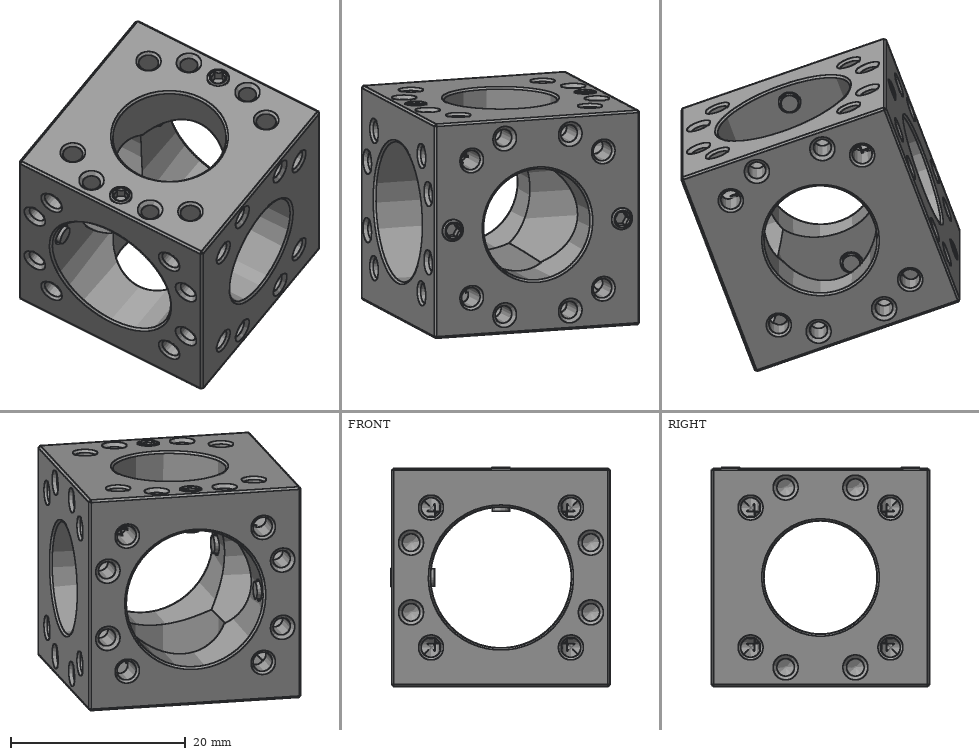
import cadquery as cq
import math

cube_size = 25.0
half_cube = cube_size / 2
edge_chamfer = 0.25

main_bore_diameter = 16.1
cross_bore_diameter = 12.95
bore_chamfer = 0.25

row_hole_diameter = 2.0
row_hole_depth = 4.01
corner_hole_diameter = 2.25
corner_hole_depth = 4.92
hole_mouth_diameter = 2.85
drill_point_angle = 118.0
mouth_angle = 90.0
corner_offset = 8.0
row_offset = 10.29
row_half_spacing = 4.0

screw_diameter = 2.5
screw_rim_diameter = 1.98
screw_point_diameter = 2.0
screw_point_length = 0.75
screw_length = 5.02
screw_height_above_face = 0.1
shoulder_length = (screw_diameter - screw_point_diameter) / 2
rim_chamfer_length = (screw_diameter - screw_rim_diameter) / 2
socket_across_flats = 1.5
socket_across_corners = socket_across_flats / math.cos(math.radians(30))
socket_depth = 1.25
socket_mouth_diameter = 1.93

x_axis = cq.Vector(1, 0, 0)
y_axis = cq.Vector(0, 1, 0)
z_axis = cq.Vector(0, 0, 1)
face_axes = [(x_axis, z_axis), (y_axis, x_axis), (z_axis, y_axis)]


def face_plane(normal, row_direction):
    """Plane on the cube face with this outward normal; its local X is the row direction."""
    return cq.Plane(origin=normal * half_cube, xDir=row_direction, normal=normal)


def bore_cutter(axis, diameter):
    """Through bore with a chamfer at both ends."""
    radius = diameter / 2
    profile = [
        (0, -half_cube),
        (radius + bore_chamfer, -half_cube),
        (radius, -half_cube + bore_chamfer),
        (radius, half_cube - bore_chamfer),
        (radius + bore_chamfer, half_cube),
        (0, half_cube),
    ]
    cutter = cq.Workplane("XZ").polyline(profile).close().revolve(360, (0, 0), (0, 1)).val()
    across = z_axis if axis is not z_axis else x_axis
    return cutter.moved(cq.Location(cq.Plane(origin=(0, 0, 0), xDir=across, normal=axis)))


def mounting_hole_cutter(diameter, depth):
    """Countersunk blind hole with a drill point, entering downward at the origin."""
    radius = diameter / 2
    mouth_radius = hole_mouth_diameter / 2
    mouth_depth = (mouth_radius - radius) / math.tan(math.radians(mouth_angle / 2))
    point_depth = radius / math.tan(math.radians(drill_point_angle / 2))
    profile = [
        (0, 0),
        (mouth_radius, 0),
        (radius, -mouth_depth),
        (radius, -depth),
        (0, -depth - point_depth),
    ]
    return cq.Workplane("XZ").polyline(profile).close().revolve(360, (0, 0), (0, 1)).val()


def mounting_hole_cutters():
    """The eight hole cutters of one face, placed around its centre."""
    corner_hole = mounting_hole_cutter(corner_hole_diameter, corner_hole_depth)
    row_hole = mounting_hole_cutter(row_hole_diameter, row_hole_depth)
    cutters = []
    for across in (-1, 1):
        for along in (-1, 1):
            cutters.append(corner_hole.translate((across * corner_offset, along * corner_offset, 0)))
            cutters.append(row_hole.translate((across * row_offset, along * row_half_spacing, 0)))
    return cutters


def screw_locations():
    """Where the screw axes cross the cube: two on the -X face and two on the top face."""
    faces = [face_plane(-x_axis, y_axis), face_plane(z_axis, y_axis)]
    return [
        cq.Location(face) * cq.Location(cq.Vector(side * row_offset, 0, 0))
        for face in faces
        for side in (-1, 1)
    ]


def make_screw():
    """Socket set screw with a dog point; its axis is Z and the cube face is at Z = 0."""
    radius = screw_diameter / 2
    rim_radius = screw_rim_diameter / 2
    point_radius = screw_point_diameter / 2
    top = screw_height_above_face
    bottom = top - screw_length
    point_top = bottom + screw_point_length
    profile = [
        (0, bottom),
        (point_radius, bottom),
        (point_radius, point_top),
        (radius, point_top + shoulder_length),
        (radius, top - rim_chamfer_length),
        (rim_radius, top),
        (0, top),
    ]
    body = cq.Workplane("XZ").polyline(profile).close().revolve(360, (0, 0), (0, 1))
    socket = (
        cq.Workplane("XY", origin=(0, 0, top))
        .polygon(6, socket_across_corners)
        .extrude(-socket_depth)
    )
    mouth_radius = socket_mouth_diameter / 2
    socket_mouth = cq.Solid.makeCone(
        mouth_radius, 0, mouth_radius, pnt=cq.Vector(0, 0, top), dir=cq.Vector(0, 0, -1)
    )
    return body.cut(socket).cut(cq.Workplane(socket_mouth)).val()


def screw_hole_cutter():
    """Hole for a set screw, open into the bore behind it."""
    return cq.Workplane("XY").circle(screw_diameter / 2).extrude(-screw_length).val()


def make_housing():
    """Chamfered cube with its bores, mounting holes and set screw holes."""
    cube = cq.Workplane("XY").box(cube_size, cube_size, cube_size).edges().chamfer(edge_chamfer)
    cutters = [
        bore_cutter(x_axis, cross_bore_diameter),
        bore_cutter(y_axis, main_bore_diameter),
        bore_cutter(z_axis, cross_bore_diameter),
    ]
    face_holes = mounting_hole_cutters()
    for normal, row_direction in face_axes:
        for outward in (normal, -normal):
            face = cq.Location(face_plane(outward, row_direction))
            cutters += [hole.moved(face) for hole in face_holes]
    screw_hole = screw_hole_cutter()
    cutters += [screw_hole.moved(place) for place in screw_locations()]
    return cube.val().cut(*cutters)


housing = make_housing()
screw = make_screw()
screws = [screw.moved(place) for place in screw_locations()]

result = cq.Compound.makeCompound([housing, *screws])